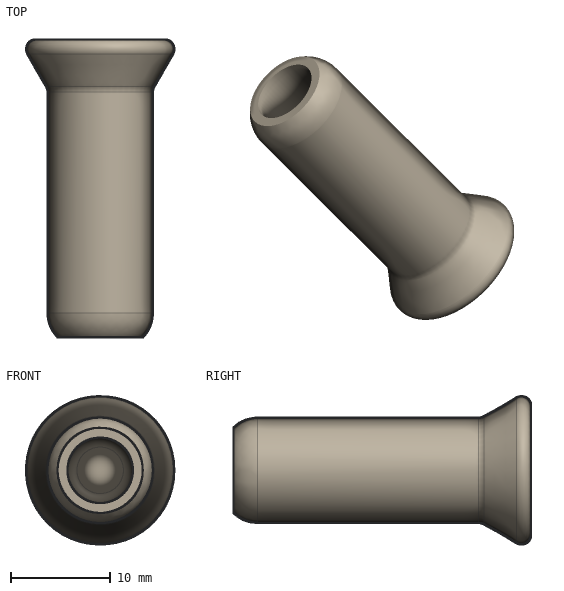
import cadquery as cq
import math

length = 30.0
head_radius = 7.47
body_radius = 5.3
rim_round = 1.0
cone_angle = math.radians(30)
neck_round = 1.08
nose_length = 2.45
nose_face_radius = 4.3
bore_radius = 3.3
floor_round = 0.95
bore_depth = 21.0

nose_y = -length / 2
head_y = length / 2
sin_cone = math.sin(cone_angle)
cos_cone = math.cos(cone_angle)

nose_drop = body_radius - nose_face_radius
nose_arc = (nose_length**2 + nose_drop**2) / (2 * nose_drop)
half_nose_angle = math.asin(nose_length / nose_arc) / 2
nose_end_y = nose_y + nose_length
nose_mid = (
    body_radius - nose_arc * (1 - math.cos(half_nose_angle)),
    nose_end_y - nose_arc * math.sin(half_nose_angle),
)

rim_center = (head_radius - rim_round, head_y - rim_round)
rim_start = (rim_center[0] + rim_round * cos_cone, rim_center[1] - rim_round * sin_cone)
rim_middle = (head_radius, rim_center[1])
rim_end = (rim_center[0], head_y)

neck_top_radius = body_radius + neck_round * (1 - cos_cone)
neck_top_y = rim_start[1] - (rim_start[0] - neck_top_radius) / math.tan(cone_angle)
neck_start_y = neck_top_y - neck_round * sin_cone
half_cone = cone_angle / 2
neck_mid = (
    body_radius + neck_round * (1 - math.cos(half_cone)),
    neck_start_y + neck_round * math.sin(half_cone),
)


def make_body():
    """Revolve the solid outline about the Y axis."""
    return (
        cq.Workplane("XY")
        .moveTo(0, nose_y)
        .lineTo(nose_face_radius, nose_y)
        .threePointArc(nose_mid, (body_radius, nose_end_y))
        .lineTo(body_radius, neck_start_y)
        .threePointArc(neck_mid, (neck_top_radius, neck_top_y))
        .lineTo(*rim_start)
        .threePointArc(rim_middle, rim_end)
        .lineTo(0, head_y)
        .close()
        .revolve(360, (0, 0, 0), (0, 1, 0))
    )


def make_bore():
    """Blind bore from the nose, with a rounded floor edge."""
    return (
        cq.Workplane("XZ", origin=(0, nose_y, 0))
        .circle(bore_radius)
        .extrude(-bore_depth)
        .faces(">Y")
        .edges()
        .fillet(floor_round)
    )


result = make_body().cut(make_bore())